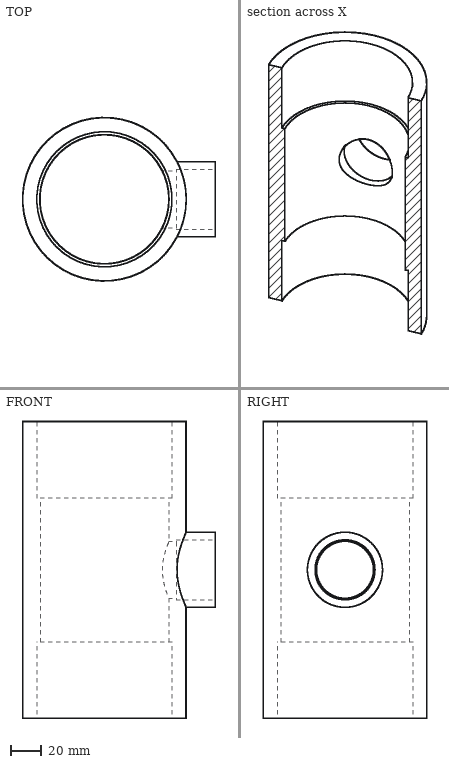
import cadquery as cq

body_length = 198.0
body_diameter = 109.0
bore_diameter = 86.0
socket_diameter = 90.0
socket_depth = 51.0

branch_reach = 128.5 - body_diameter / 2
branch_diameter = 50.0
branch_bore_diameter = 38.0
branch_socket_diameter = 40.0
branch_socket_depth = 26.0


def vertical_cylinder(diameter, bottom, height):
    return cq.Workplane("XY").workplane(offset=bottom).circle(diameter / 2).extrude(height)


def branch_cylinder(diameter, start, length):
    return cq.Workplane("YZ").workplane(offset=start).circle(diameter / 2).extrude(length)


bottom = -body_length / 2
body = vertical_cylinder(body_diameter, bottom, body_length)
tee = body.union(branch_cylinder(branch_diameter, 0, branch_reach))

tee = tee.cut(vertical_cylinder(bore_diameter, bottom, body_length))
for socket_bottom in (bottom, body_length / 2 - socket_depth):
    tee = tee.cut(vertical_cylinder(socket_diameter, socket_bottom, socket_depth))

tee = tee.cut(branch_cylinder(branch_bore_diameter, 0, branch_reach))
branch_socket_start = branch_reach - branch_socket_depth
tee = tee.cut(branch_cylinder(branch_socket_diameter, branch_socket_start, branch_socket_depth))

result = tee